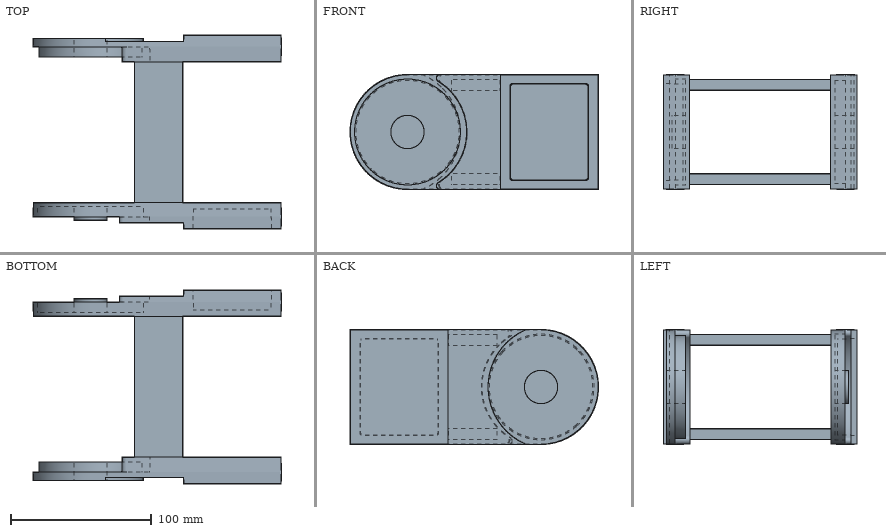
import cadquery as cq
import math

total_length = 177.0
arm_height = 82.0
end_radius = arm_height / 2
arm_end_x = total_length - end_radius

front_cover_y = 4.2
front_plate_y = 8.5
front_inner_y = 18.5
boss_face_y = 6.0

rear_inner_y = 119.0
disc_face_y = 122.3
rear_plate_y = 129.5
rear_outer_y = 133.5
rear_collar_y = 135.5
total_width = 137.9

draft_angle = 2.0

socket_radius = 37.7
socket_depth = 7.3
disc_radius = 36.8
pivot_radius = 11.9

hook_radius = 42.1
front_hook_tip_radius = 2.7
rear_hook_tip_radius = 3.4

pad_start_x = 66.0
pocket_length = 56.1
pocket_height = 69.0
pocket_margin = 7.0
pocket_depth = 14.0
pocket_corner_radius = 2.1

collar_edge_x = 10.8
collar_tip_x = 37.9

bar_start_x = 31.2
bar_length = 34.7
bar_thickness = 8.0
bar_inner_z = 29.5


def block(x_start, x_end, y_start, y_end, z_start, z_end):
    size = (x_end - x_start, y_end - y_start, z_end - z_start)
    return cq.Workplane("XY").box(*size, centered=False).translate((x_start, y_start, z_start))


def extrude_y(outline, y_start, y_end, draft=0):
    """Extrude an XZ outline along Y from y_start to y_end, in either direction."""
    distance = y_start - y_end
    return outline.extrude(distance, taper=draft).translate((0, y_start, 0))


def cylinder(radius, y_start, y_end):
    return extrude_y(cq.Workplane("XZ").circle(radius), y_start, y_end)


def arm_plate(y_start, y_end):
    outline = (
        cq.Workplane("XZ")
        .moveTo(0, end_radius)
        .lineTo(arm_end_x, end_radius)
        .lineTo(arm_end_x, -end_radius)
        .lineTo(0, -end_radius)
        .threePointArc((-end_radius, 0), (0, end_radius))
        .close()
    )
    return extrude_y(outline, y_start, y_end, draft_angle)


def end_pad(y_start, y_end):
    outline = cq.Workplane("XZ").center((pad_start_x + arm_end_x) / 2, 0)
    outline = outline.rect(arm_end_x - pad_start_x, arm_height)
    return extrude_y(outline, y_start, y_end, draft_angle)


def hooked_layer(hook_tip_radius, y_start, y_end):
    """Layer with a round bite around the pivot and a rounded tip at each end of the bite."""
    tip_z = end_radius - hook_tip_radius
    tip_x = math.sqrt((hook_radius + hook_tip_radius) ** 2 - tip_z**2)
    contact = hook_radius / (hook_radius + hook_tip_radius)
    contact_x = tip_x * contact
    contact_z = tip_z * contact
    outline = (
        cq.Workplane("XZ")
        .moveTo(tip_x, end_radius)
        .lineTo(arm_end_x, end_radius)
        .lineTo(arm_end_x, -end_radius)
        .lineTo(tip_x, -end_radius)
        .threePointArc((tip_x - hook_tip_radius, -tip_z), (contact_x, -contact_z))
        .threePointArc((hook_radius, 0), (contact_x, contact_z))
        .threePointArc((tip_x - hook_tip_radius, tip_z), (tip_x, end_radius))
        .close()
    )
    return extrude_y(outline, y_start, y_end, draft_angle)


def front_arm():
    arm = arm_plate(front_plate_y, front_inner_y)
    arm = arm.union(hooked_layer(front_hook_tip_radius, front_plate_y, front_cover_y))
    arm = arm.union(end_pad(front_plate_y, 0))

    socket_floor_y = front_plate_y + socket_depth
    arm = arm.cut(cylinder(socket_radius, front_plate_y, socket_floor_y))
    arm = arm.union(cylinder(pivot_radius, boss_face_y, front_inner_y))

    pocket_center_x = arm_end_x - pocket_margin - pocket_length / 2
    pocket_outline = (
        cq.Workplane("XZ")
        .center(pocket_center_x, 0)
        .sketch()
        .rect(pocket_length, pocket_height)
        .vertices()
        .fillet(pocket_corner_radius)
        .finalize()
    )
    return arm.cut(extrude_y(pocket_outline, 0, pocket_depth, draft_angle))


def rear_collar():
    outline = (
        cq.Workplane("XZ")
        .moveTo(0, end_radius)
        .lineTo(collar_edge_x, end_radius)
        .threePointArc((collar_tip_x, 0), (collar_edge_x, -end_radius))
        .lineTo(0, -end_radius)
        .threePointArc((-end_radius, 0), (0, end_radius))
        .close()
    )
    return extrude_y(outline, rear_plate_y, rear_collar_y, draft_angle)


def rear_arm():
    arm = arm_plate(rear_plate_y, rear_outer_y)
    arm = arm.union(hooked_layer(rear_hook_tip_radius, rear_plate_y, rear_inner_y))
    arm = arm.union(end_pad(rear_plate_y, total_width))
    arm = arm.union(rear_collar())
    arm = arm.union(cylinder(disc_radius, disc_face_y, rear_plate_y))
    return arm.cut(cylinder(pivot_radius, disc_face_y, rear_collar_y))


def cross_bar(z_start):
    return block(
        bar_start_x, bar_start_x + bar_length,
        front_inner_y, rear_inner_y,
        z_start, z_start + bar_thickness,
    )


result = front_arm().union(rear_arm())
for bar_z in (bar_inner_z, -bar_inner_z - bar_thickness):
    result = result.union(cross_bar(bar_z))